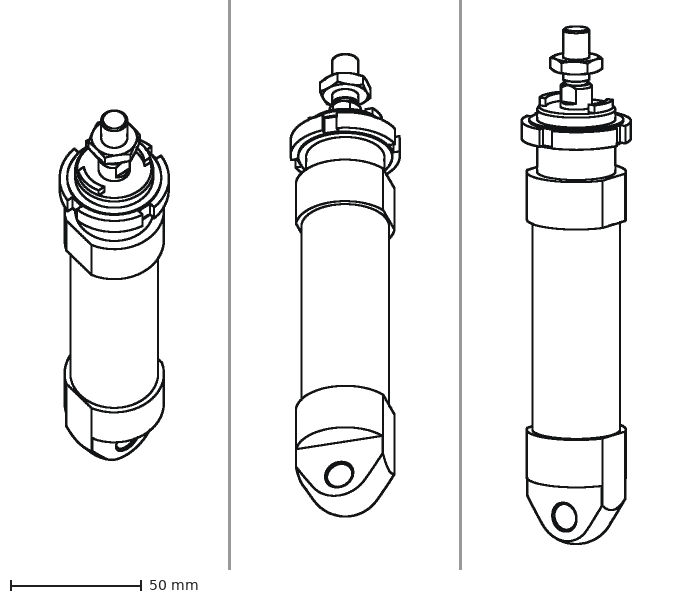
import cadquery as cq
import math

TOTAL_LENGTH = 201.5

TUBE_DIAMETER = 33.7
COLLAR_DIAMETER = 38.0
COLLAR_ACROSS_FLATS = 34.9
COLLAR_LENGTH = 18.5
FRONT_COLLAR_TOP = 145.5
REAR_COLLAR_BOTTOM = 26.0
NECK_DIAMETER = 30.0
NECK_TOP = 171.0
NECK_CHAMFER_DIAMETER = 28.5
NECK_CHAMFER_HEIGHT = 1.2

TAB_HEIGHT = 3.0
TAB_WIDTH = 12.5
TAB_INNER_RADIUS = 11.7

LUG_THICKNESS = 16.1
LUG_TIP_RADIUS = 15.0
LUG_CONE_HALF_ANGLE = 30.0
LUG_HOLE_DIAMETER = 10.0
LUG_HOLE_HEIGHT = 11.7
LUG_HOLE_CHAMFER = 0.6

ROD_DIAMETER = 12.0
ROD_ACROSS_FLATS = 10.0
ROD_FLAT_BOTTOM = 173.5
ROD_FLAT_RUNOUT = 0.6
ROD_SHOULDER_TOP = 180.1
ROD_SHOULDER_CHAMFER = 1.0
UNDERCUT_DIAMETER = 8.5
THREAD_DIAMETER = 10.0
THREAD_BOTTOM = 181.8
THREAD_TIP_DIAMETER = 8.7

ROD_NUT_BOTTOM = 185.4
ROD_NUT_SIDES = 6
ROD_NUT_HEIGHT = 5.0
ROD_NUT_ACROSS_FLATS = 17.3
ROD_NUT_CHAMFER_HEIGHT = 0.6

RING_DIAMETER = 42.0
RING_BOTTOM = 158.0
RING_HEIGHT = 8.0
RING_BOSS_DIAMETER = 36.0
RING_BOSS_HEIGHT = 0.6
SLOT_COUNT = 4
SLOT_WIDTH = 5.6
SLOT_FLOOR_RADIUS = 18.3


def cylinder(diameter, bottom, top):
    return cq.Workplane("XY").workplane(offset=bottom).circle(diameter / 2).extrude(top - bottom)


def box_between(size_x, size_y, bottom, top):
    return cq.Workplane("XY").workplane(offset=bottom).rect(size_x, size_y).extrude(top - bottom)


def flatted_collar(bottom):
    """Round collar with two wrench flats facing -Y and +Y."""
    top = bottom + COLLAR_LENGTH
    return cylinder(COLLAR_DIAMETER, bottom, top).intersect(
        box_between(COLLAR_DIAMETER, COLLAR_ACROSS_FLATS, bottom, top)
    )


def rear_lug():
    """Lug blade cut from a cone that ends in a spherical tip, with a cross hole along X."""
    half_angle = math.radians(LUG_CONE_HALF_ANGLE)
    collar_radius = COLLAR_DIAMETER / 2
    tangent_radius = LUG_TIP_RADIUS * math.cos(half_angle)
    tangent_height = LUG_TIP_RADIUS * (1 - math.sin(half_angle))
    cone_top = tangent_height + (collar_radius - tangent_radius) / math.tan(half_angle)
    mid_angle = (math.pi / 2 - half_angle) / 2
    arc_middle = (LUG_TIP_RADIUS * math.sin(mid_angle), LUG_TIP_RADIUS * (1 - math.cos(mid_angle)))
    tip = (
        cq.Workplane("XZ")
        .threePointArc(arc_middle, (tangent_radius, tangent_height))
        .lineTo(collar_radius, cone_top)
        .lineTo(collar_radius, REAR_COLLAR_BOTTOM)
        .lineTo(0, REAR_COLLAR_BOTTOM)
        .close()
        .revolve(360, (0, 0, 0), (0, 1, 0))
    )
    blade = tip.intersect(box_between(LUG_THICKNESS, COLLAR_ACROSS_FLATS, 0, REAR_COLLAR_BOTTOM))
    hole = (
        cq.Workplane("YZ")
        .center(0, LUG_HOLE_HEIGHT)
        .circle(LUG_HOLE_DIAMETER / 2)
        .extrude(LUG_THICKNESS / 2, both=True)
    )
    drilled = blade.cut(hole)
    hole_rims = drilled.faces("<X or >X").edges(cq.selectors.RadiusNthSelector(0))
    return hole_rims.chamfer(LUG_HOLE_CHAMFER)


def front_tabs():
    """Two tabs on the -Y and +Y sides, flush with the small end of the neck chamfer."""
    top = NECK_TOP + TAB_HEIGHT
    ring = cylinder(NECK_CHAMFER_DIAMETER, NECK_TOP, top).cut(
        cylinder(2 * TAB_INNER_RADIUS, NECK_TOP, top)
    )
    return ring.intersect(box_between(TAB_WIDTH, NECK_DIAMETER, NECK_TOP, top))


def make_housing():
    neck = cylinder(NECK_DIAMETER, FRONT_COLLAR_TOP, NECK_TOP)
    neck = neck.faces(">Z").edges().chamfer(
        NECK_CHAMFER_HEIGHT, (NECK_DIAMETER - NECK_CHAMFER_DIAMETER) / 2
    )
    tube = cylinder(TUBE_DIAMETER, REAR_COLLAR_BOTTOM, FRONT_COLLAR_TOP)
    return (
        tube.union(flatted_collar(REAR_COLLAR_BOTTOM))
        .union(flatted_collar(FRONT_COLLAR_TOP - COLLAR_LENGTH))
        .union(neck)
        .union(front_tabs())
        .union(rear_lug())
    )


def make_rod():
    """Stepped rod standing on the neck face, with two wrench flats facing -X and +X."""
    shank = cylinder(ROD_DIAMETER, NECK_TOP, ROD_SHOULDER_TOP)
    shank = shank.faces(">Z").edges().chamfer(ROD_SHOULDER_CHAMFER)
    flats_profile = (
        cq.Workplane("XZ")
        .moveTo(ROD_DIAMETER / 2, NECK_TOP)
        .lineTo(ROD_DIAMETER / 2, ROD_FLAT_BOTTOM - ROD_FLAT_RUNOUT)
        .lineTo(ROD_ACROSS_FLATS / 2, ROD_FLAT_BOTTOM)
        .lineTo(ROD_ACROSS_FLATS / 2, ROD_SHOULDER_TOP)
        .lineTo(0, ROD_SHOULDER_TOP)
        .lineTo(0, NECK_TOP)
        .close()
        .extrude(ROD_DIAMETER, both=True)
    )
    shank = shank.intersect(flats_profile.union(flats_profile.mirror("YZ")))
    undercut = cylinder(UNDERCUT_DIAMETER, ROD_SHOULDER_TOP, THREAD_BOTTOM)
    thread = cylinder(THREAD_DIAMETER, THREAD_BOTTOM, TOTAL_LENGTH)
    thread = thread.faces(">Z").edges().chamfer((THREAD_DIAMETER - THREAD_TIP_DIAMETER) / 2)
    return shank.union(undercut).union(thread)


def make_rod_nut():
    """Hexagon nut with flats facing -Y and +Y and both ends chamfered to the across-flats circle."""
    top = ROD_NUT_BOTTOM + ROD_NUT_HEIGHT
    corner_diameter = ROD_NUT_ACROSS_FLATS / math.cos(math.pi / ROD_NUT_SIDES)
    hexagon = (
        cq.Workplane("XY")
        .workplane(offset=ROD_NUT_BOTTOM)
        .polygon(ROD_NUT_SIDES, corner_diameter)
        .extrude(ROD_NUT_HEIGHT)
    )
    envelope = cylinder(corner_diameter, ROD_NUT_BOTTOM, top)
    envelope = envelope.faces("<Z or >Z").edges().chamfer(
        ROD_NUT_CHAMFER_HEIGHT, (corner_diameter - ROD_NUT_ACROSS_FLATS) / 2
    )
    return hexagon.intersect(envelope).cut(cylinder(THREAD_DIAMETER, ROD_NUT_BOTTOM, top))


def make_mounting_nut():
    """Ring nut around the neck: a slotted rim with a low boss on each face."""
    top = RING_BOTTOM + RING_HEIGHT
    rim = cylinder(RING_DIAMETER, RING_BOTTOM + RING_BOSS_HEIGHT, top - RING_BOSS_HEIGHT)
    ring = rim.union(cylinder(RING_BOSS_DIAMETER, RING_BOTTOM, top))
    ring = ring.cut(cylinder(NECK_DIAMETER, RING_BOTTOM, top))
    slot_depth = RING_DIAMETER / 2 - SLOT_FLOOR_RADIUS
    slot = box_between(slot_depth, SLOT_WIDTH, RING_BOTTOM, top)
    slot = slot.translate((SLOT_FLOOR_RADIUS + slot_depth / 2, 0, 0))
    for index in range(SLOT_COUNT):
        ring = ring.cut(slot.rotate((0, 0, 0), (0, 0, 1), index * 360 / SLOT_COUNT))
    return ring


housing = make_housing()
rod = make_rod()
rod_nut = make_rod_nut()
mounting_nut = make_mounting_nut()

result = cq.Compound.makeCompound([housing.val(), rod.val(), rod_nut.val(), mounting_nut.val()])